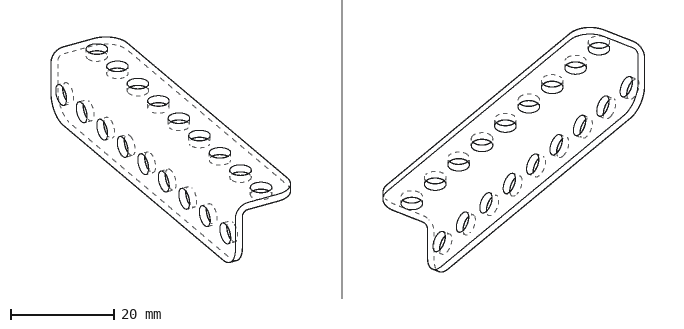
import cadquery as cq

length = 72.0
leg = 14.3
thickness = 1.6
outer_bend_radius = 2.7
inner_bend_radius = outer_bend_radius - thickness
corner_radius = 4.75

hole_count = 9
hole_diameter = 4.2
hole_pitch = length / hole_count
hole_offset = hole_pitch


def angle_blank():
    """L section: a top leg along +Y and a front leg down -Z, rounded at the bend."""
    section = (
        cq.Workplane("YZ")
        .moveTo(0, 0)
        .lineTo(leg, 0)
        .lineTo(leg, -thickness)
        .lineTo(thickness, -thickness)
        .lineTo(thickness, -leg)
        .lineTo(0, -leg)
        .close()
    )
    blank = section.extrude(length / 2, both=True)
    outer_edge = cq.selectors.NearestToPointSelector((0, 0, 0))
    inner_edge = cq.selectors.NearestToPointSelector((0, thickness, -thickness))
    blank = blank.edges("|X").edges(outer_edge).fillet(outer_bend_radius)
    return blank.edges("|X").edges(inner_edge).fillet(inner_bend_radius)


def round_free_corners(body):
    """Round the two free corners of each leg."""
    body = body.faces(">Y").edges("|Z").fillet(corner_radius)
    return body.faces("<Z").edges("|Y").fillet(corner_radius)


def hole_cutters(plane, row_height, depth):
    """Row of cylinders centred along X, extruded along the plane normal."""
    return (
        cq.Workplane(plane)
        .center(0, row_height)
        .rarray(hole_pitch, 0.7, hole_count, 1)
        .circle(hole_diameter / 2)
        .extrude(depth)
    )


top_holes = hole_cutters("XY", hole_offset, -thickness)
front_holes = hole_cutters("XZ", -hole_offset, -thickness)

bracket = round_free_corners(angle_blank()).cut(top_holes).cut(front_holes)

result = bracket.translate((0, -leg / 2, leg / 2))